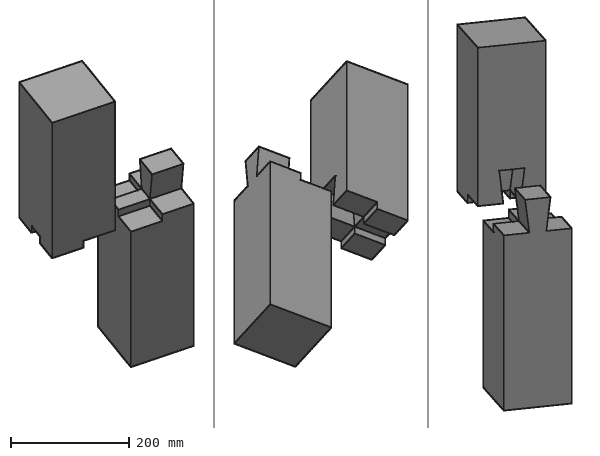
import cadquery as cq

post_width = 120.0
half_width = post_width / 2
total_height = 600.0
seam_height = total_height / 2
step_height = 15.0
shoulder_height = seam_height + step_height
key_width = 30.0
tail_top_width = 45.0
tail_height = 60.0
post_gap = 30.0
pull_distance = post_width + post_gap

lower_front_y = post_gap / 2
lower_middle_y = lower_front_y + half_width


def block(width, front_y, depth, bottom_z, height):
    """Box centred on X, placed by its front face and its bottom face."""
    corner_box = cq.Workplane("XY").box(width, depth, height, centered=(True, False, False))
    return corner_box.translate((0, front_y, bottom_z))


def dovetail():
    """Tail over the rear half of the lower post, widening upward."""
    return (
        cq.Workplane("XZ", origin=(0, lower_middle_y, shoulder_height))
        .moveTo(-key_width / 2, 0)
        .lineTo(key_width / 2, 0)
        .lineTo(tail_top_width / 2, tail_height)
        .lineTo(-tail_top_width / 2, tail_height)
        .close()
        .extrude(-half_width)
    )


def make_lower_post():
    """Post with a raised rear shoulder, a front ridge and a dovetail."""
    body = block(post_width, lower_front_y, post_width, 0, seam_height)
    shoulder = block(post_width, lower_middle_y, half_width, seam_height, step_height)
    ridge = block(key_width, lower_front_y, half_width, seam_height, step_height)
    return body.union(shoulder).union(ridge).union(dovetail())


def make_upper_post(mating_post):
    """Full post cut to fit the mating post, then pulled forward from it."""
    blank = block(post_width, lower_front_y, post_width, seam_height, total_height - seam_height)
    return blank.cut(mating_post).translate((0, -pull_distance, 0))


lower_post = make_lower_post()
upper_post = make_upper_post(lower_post)

result = cq.Compound.makeCompound([lower_post.val(), upper_post.val()])